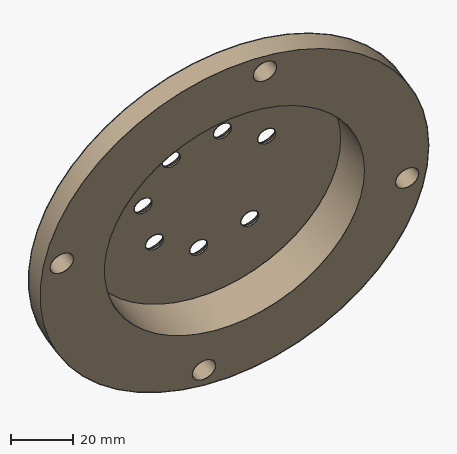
import cadquery as cq
import math

flange_diameter = 142.0
flange_thickness = 8.0
cap_diameter = 105.0
total_depth = 20.0
rim_radius = 3.0

recess_diameter = 95.0
end_wall = 4.0
recess_depth = total_depth - end_wall

pattern_angle = 10.0
bolt_hole_diameter = 8.5
bolt_circle_diameter = 128.1
bolt_count = 4

screw_hole_diameter = 6.5
screw_circle_diameter = 50.0
countersink_diameter = 13.0
countersink_angle = 90.0
screw_positions = 8
empty_position = 2


def circle_point(circle_diameter, index, count):
    """Y, Z of one place on an evenly divided circle."""
    angle = math.radians(pattern_angle + index * 360.0 / count)
    radius = circle_diameter / 2
    return radius * math.sin(angle), radius * math.cos(angle)


def disc(diameter, start, length):
    """Cylinder on the part axis, running toward +X from start."""
    return cq.Workplane("YZ", origin=(start, 0, 0)).circle(diameter / 2).extrude(length)


cap = disc(cap_diameter, 0, total_depth).faces("<X").edges().fillet(rim_radius)
flange = disc(flange_diameter, total_depth - flange_thickness, flange_thickness)
body = cap.union(flange).cut(disc(recess_diameter, end_wall, recess_depth))

bolt_points = [circle_point(bolt_circle_diameter, i, bolt_count) for i in range(bolt_count)]
bolt_holes = cq.Workplane("YZ").pushPoints(bolt_points).circle(bolt_hole_diameter / 2).extrude(total_depth)
body = body.cut(bolt_holes)

screw_points = [
    circle_point(screw_circle_diameter, i, screw_positions)
    for i in range(screw_positions)
    if i != empty_position
]
result = (
    body.faces("<X")
    .workplane(origin=(0, 0, 0))
    .pushPoints([(-y, z) for y, z in screw_points])
    .cskHole(screw_hole_diameter, countersink_diameter, countersink_angle)
)